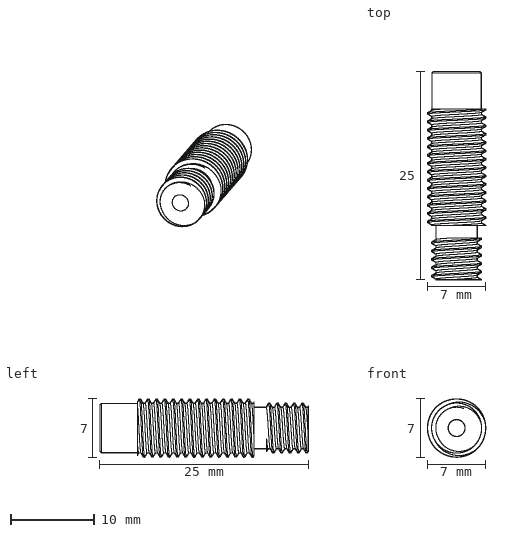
import cadquery as cq
import math

length = 25.0
pitch = 1.0
thread_depth = 0.5
crest_width = 0.15
flank_angle = 30.0

front_thread_diameter = 6.0
front_thread_length = 5.0
neck_diameter = 5.0
neck_length = 1.5
main_thread_diameter = 7.0
main_thread_length = 14.0
smooth_diameter = 5.95
chamfer_length = 0.2
bore_diameter = 2.0

crest_offset = -0.05
root_overlap = 0.05


def cylinder(diameter, start, height):
    return cq.Workplane("XY").workplane(offset=start).circle(diameter / 2).extrude(height)


def thread(diameter, start, height):
    """Right-hand thread with its ridge cut flush at both ends."""
    crest_radius = diameter / 2
    root_radius = crest_radius - thread_depth
    inner_radius = root_radius - root_overlap
    half_crest = crest_width / 2
    half_base = half_crest + (crest_radius - inner_radius) * math.tan(math.radians(flank_angle))

    ridge_start = crest_offset - pitch
    helix = cq.Wire.makeHelix(pitch, height + 2 * pitch, root_radius).translate(cq.Vector(0, 0, ridge_start))
    ridge = (
        cq.Workplane("XZ")
        .polyline([
            (inner_radius, ridge_start - half_base),
            (crest_radius, ridge_start - half_crest),
            (crest_radius, ridge_start + half_crest),
            (inner_radius, ridge_start + half_base),
        ])
        .close()
        .sweep(cq.Workplane(obj=helix), isFrenet=True)
    )
    envelope = cylinder(diameter + thread_depth, 0, height)
    core = cylinder(2 * root_radius, 0, height)
    return core.union(ridge.intersect(envelope)).translate((0, 0, start))


main_thread_start = front_thread_length + neck_length
smooth_start = main_thread_start + main_thread_length

front_thread = thread(front_thread_diameter, 0, front_thread_length)
neck = cylinder(neck_diameter, front_thread_length, neck_length)
main_thread = thread(main_thread_diameter, main_thread_start, main_thread_length)
smooth_end = cylinder(smooth_diameter, smooth_start, length - smooth_start).faces(">Z").chamfer(chamfer_length)
bore = cylinder(bore_diameter, 0, length)

body = front_thread.union(neck).union(main_thread).union(smooth_end).cut(bore)

result = body.translate((0, 0, -length / 2)).rotate((0, 0, 0), (1, 0, 0), -90)